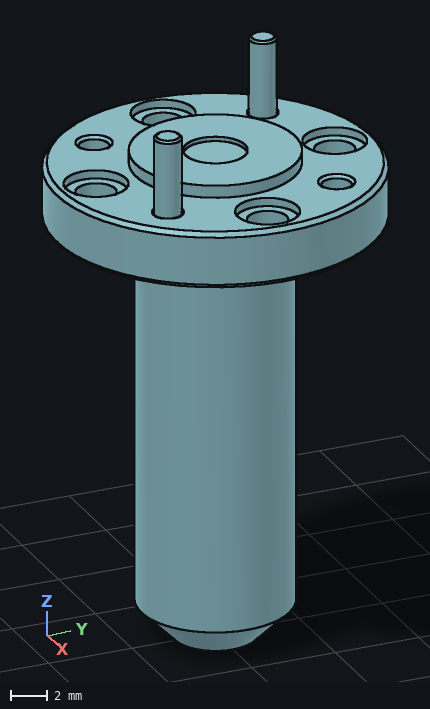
import cadquery as cq
import math

total_height = 32.95
pin_projection = 4.58
flange_thickness = 3.35
flange_top = total_height - pin_projection
flange_bottom = flange_top - flange_thickness

flange_diameter = 19.05
flange_chamfer = 0.25
boss_diameter = flange_diameter / 2
boss_height = 0.72
boss_top = flange_top + boss_height
shaft_diameter = 8.9
tip_diameter = 4.8
tip_height = (shaft_diameter - tip_diameter) / 2
recess_diameter = 3.55
recess_depth = 0.25

bolt_circle_radius = 7.15
screw_hole_diameter = 2.27
counterbore_diameter = 3.55
counterbore_depth = 0.5
screw_hole_angles = [0, 90, 180, 270]
dowel_hole_diameter = 1.68
dowel_countersink_diameter = 2.05
dowel_hole_angles = [45, 225]

pin_diameter = 1.55
pin_chamfer = 0.13
pin_countersink_diameter = 1.75
pin_angles = [135, 315]


def bolt_circle_point(angle):
    """XY position on the bolt circle at an angle in degrees."""
    return (
        bolt_circle_radius * math.cos(math.radians(angle)),
        bolt_circle_radius * math.sin(math.radians(angle)),
    )


def flange_face(angles, height=flange_top):
    """Workplane at a height with a point at each bolt circle angle."""
    points = [bolt_circle_point(angle) for angle in angles]
    return cq.Workplane("XY").workplane(offset=height).pushPoints(points)


def make_blank():
    """Flange, raised boss and cone-tipped shaft, without holes."""
    flange = (
        cq.Workplane("XY")
        .workplane(offset=flange_bottom)
        .circle(flange_diameter / 2)
        .extrude(flange_thickness)
        .edges()
        .chamfer(flange_chamfer)
    )
    shaft = (
        cq.Workplane("XY")
        .circle(shaft_diameter / 2)
        .extrude(flange_top)
        .faces("<Z")
        .chamfer(tip_height)
    )
    boss = (
        cq.Workplane("XY")
        .workplane(offset=flange_top)
        .circle(boss_diameter / 2)
        .extrude(boss_height)
    )
    return flange.union(shaft).union(boss)


def hole_cutter(angles, diameter):
    """Cylinders that pass through the whole flange."""
    return flange_face(angles).circle(diameter / 2).extrude(-flange_thickness)


def countersink_cutter(angles, diameter, hole_diameter):
    """45 degree cones that open the mouths of the holes in the flange top."""
    depth = (diameter - hole_diameter) / 2
    cone = cq.Solid.makeCone(hole_diameter / 2, diameter / 2, depth)
    return flange_face(angles, flange_top - depth).eachpoint(lambda place: cone.moved(place))


def make_housing():
    """Flanged housing with screw holes, dowel holes, pin holes and central recess."""
    recess = (
        cq.Workplane("XY")
        .workplane(offset=boss_top)
        .circle(recess_diameter / 2)
        .extrude(-recess_depth)
    )
    counterbores = flange_face(screw_hole_angles).circle(counterbore_diameter / 2).extrude(-counterbore_depth)
    return (
        make_blank()
        .cut(recess)
        .cut(hole_cutter(screw_hole_angles, screw_hole_diameter))
        .cut(counterbores)
        .cut(hole_cutter(dowel_hole_angles, dowel_hole_diameter))
        .cut(countersink_cutter(dowel_hole_angles, dowel_countersink_diameter, dowel_hole_diameter))
        .cut(hole_cutter(pin_angles, pin_diameter))
        .cut(countersink_cutter(pin_angles, pin_countersink_diameter, pin_diameter))
    )


def make_pin(angle):
    """Alignment pin from the flange underside to the top, chamfered at its upper end."""
    return (
        flange_face([angle], flange_bottom)
        .circle(pin_diameter / 2)
        .extrude(total_height - flange_bottom)
        .faces(">Z")
        .chamfer(pin_chamfer)
    )


housing = make_housing()
pins = [make_pin(angle) for angle in pin_angles]

result = cq.Compound.makeCompound([housing.val(), *[pin.val() for pin in pins]])